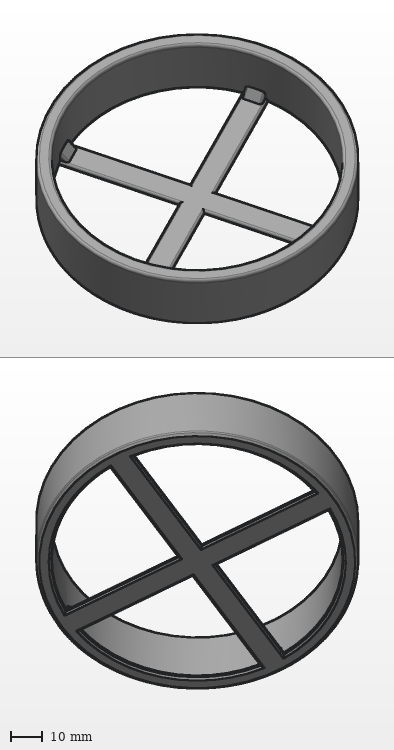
import cadquery as cq

outer_radius = 51.0
inner_radius = 46.0
height = 22.0
edge_rounding = 1.0
bottom_chamfer = 1.0
chamfer_blend = 0.8

spoke_width = 8.6
spoke_thickness = 2.0
spoke_rounding = 0.8
spoke_chamfer = 0.7

gusset_size = 3.1
gusset_width = spoke_width - 2 * spoke_rounding
gusset_rounding = 0.8
spoke_count = 4

wall_middle = (inner_radius + outer_radius) / 2


def make_ring():
    ring = cq.Workplane("XY").circle(outer_radius).circle(inner_radius).extrude(height)
    ring = ring.faces(">Z").edges().fillet(edge_rounding)
    ring = ring.faces("<Z").edges().chamfer(bottom_chamfer)
    near_bevels = cq.selectors.BoxSelector(
        (-outer_radius, -outer_radius, bottom_chamfer / 2),
        (outer_radius, outer_radius, 2 * bottom_chamfer),
    )
    return ring.edges("%CIRCLE").edges(near_bevels).fillet(chamfer_blend)


def make_cross():
    length = 2 * wall_middle
    centering = (True, True, False)
    along_x = cq.Workplane("XY").box(length, spoke_width, spoke_thickness, centered=centering)
    along_y = cq.Workplane("XY").box(spoke_width, length, spoke_thickness, centered=centering)
    cross = along_x.union(along_y).faces(">Z").edges().fillet(spoke_rounding)
    return cross.faces("<Z").edges().chamfer(spoke_chamfer)


def make_gusset():
    """45 degree wedge on the +X spoke with its sloped side edges rounded."""
    toe = inner_radius - gusset_size
    top = spoke_thickness + (wall_middle - toe)
    wedge = (
        cq.Workplane("XZ")
        .moveTo(toe, spoke_thickness)
        .lineTo(wall_middle, top)
        .lineTo(wall_middle, 0)
        .lineTo(toe, 0)
        .close()
        .extrude(gusset_width / 2, both=True)
    )
    slope_direction = cq.Vector(1, 0, 1)
    slope_edges = cq.selectors.ParallelDirSelector(slope_direction)
    rounded = wedge.edges(slope_edges).fillet(gusset_rounding)
    wedge_limit = cq.Workplane("XY").workplane(offset=bottom_chamfer)
    wedge_limit = wedge_limit.circle(wall_middle).extrude(top)
    return rounded.intersect(wedge_limit)


result = make_ring().union(make_cross())
gusset = make_gusset()
for index in range(spoke_count):
    angle = index * 360 / spoke_count
    result = result.union(gusset.rotate((0, 0, 0), (0, 0, 1), angle))